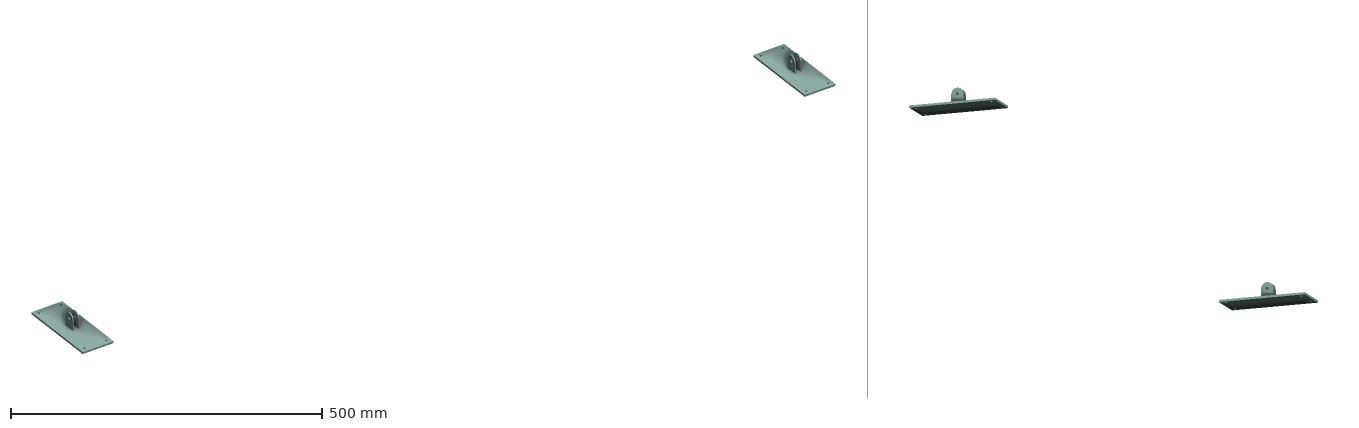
import cadquery as cq

overall_length = 1460.0
overall_height = 32.0

plate_length = 147.0
plate_width = 60.0
plate_thickness = 3.6
corner_hole_diameter = 4.2
corner_hole_inset = 9.0

lug_width = 20.0
lug_thickness = 2.0
lug_gap = 9.0
lug_hole_diameter = 5.0

hole_spacing_x = plate_length - 2 * corner_hole_inset
hole_spacing_y = plate_width - 2 * corner_hole_inset
lug_axis_height = overall_height - lug_width / 2
lug_offset = (lug_gap + lug_thickness) / 2
bracket_offset = (overall_length - plate_width) / 2


def make_plate():
    """Flat rectangular plate on Z = 0 with a screw hole near each corner."""
    return (
        cq.Workplane("XY")
        .box(plate_length, plate_width, plate_thickness, centered=(True, True, False))
        .faces(">Z")
        .workplane()
        .rect(hole_spacing_x, hole_spacing_y, forConstruction=True)
        .vertices()
        .hole(corner_hole_diameter)
    )


def make_lug(y_center):
    """Upright lug with a full-round top and a cross hole on the axis of the round."""
    half_width = lug_width / 2
    return (
        cq.Workplane("XZ", origin=(0, y_center + lug_thickness / 2, 0))
        .moveTo(-half_width, plate_thickness)
        .lineTo(half_width, plate_thickness)
        .lineTo(half_width, lug_axis_height)
        .threePointArc((0, overall_height), (-half_width, lug_axis_height))
        .close()
        .moveTo(0, lug_axis_height)
        .circle(lug_hole_diameter / 2)
        .extrude(lug_thickness)
    )


def make_bracket(y_center):
    """One bracket: a plate and its two lugs as a single solid."""
    bracket = make_plate()
    for side in (-1, 1):
        bracket = bracket.union(make_lug(side * lug_offset))
    return bracket.translate((0, y_center, 0))


brackets = [make_bracket(side * bracket_offset) for side in (-1, 1)]

result = cq.Compound.makeCompound([bracket.val() for bracket in brackets])